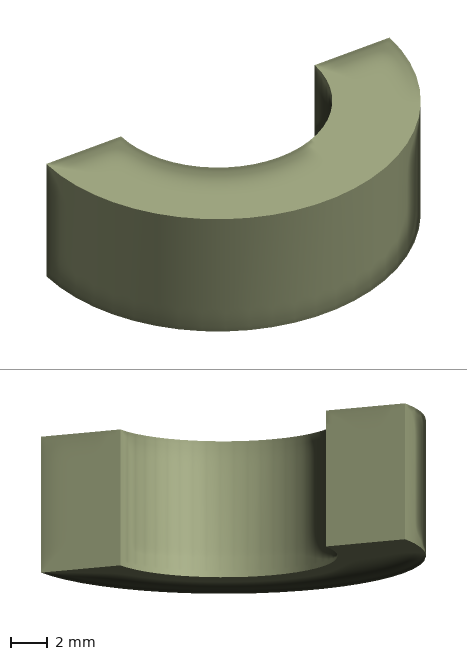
import cadquery as cq

outer_diameter = 22.0
inner_diameter = 12.4
height = 7.5

outer_radius = outer_diameter / 2
inner_radius = inner_diameter / 2

result = (
    cq.Workplane("XY")
    .moveTo(0, -outer_radius)
    .threePointArc((outer_radius, 0), (0, outer_radius))
    .lineTo(0, inner_radius)
    .threePointArc((inner_radius, 0), (0, -inner_radius))
    .close()
    .extrude(height)
)